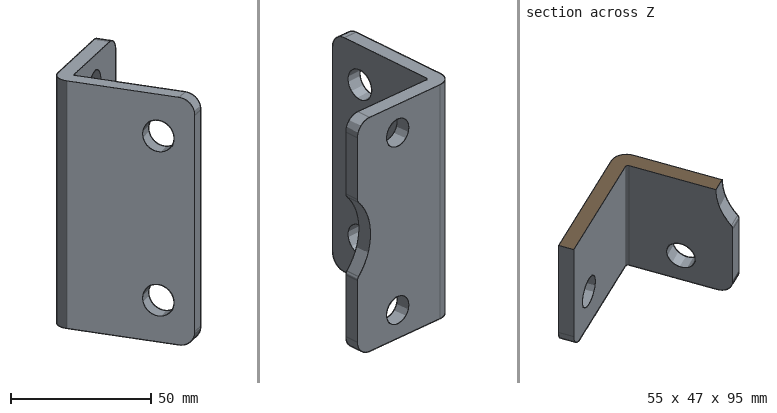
import math

import cadquery as cq

width = 55.0
depth = 47.0
height = 95.0
thickness = 6.0
mid_height = height / 2

inner_bend_radius = 1.0
outer_bend_radius = 6.0
corner_radius = 6.0

front_hole_diameter = 12.0
front_hole_x = 41.0
front_hole_spacing = 63.0

side_hole_diameter = 11.0
side_hole_y = 27.0
side_hole_spacing = 72.0

notch_radius = 22.0
notch_depth = 6.5
notch_corner_radius = 2.0
notch_center_to_edge = notch_radius - notch_depth
notch_half_span = math.sqrt(notch_radius**2 - notch_center_to_edge**2)


def fillet_edge_near(body, point, radius):
    """Round the single edge whose centre lies nearest to the point."""
    return body.edges(cq.selectors.NearestToPointSelector(point)).fillet(radius)


def bent_plate():
    """L-shaped plate with a rounded bend along Z."""
    plate = (
        cq.Workplane("XY")
        .polyline([
            (0, 0),
            (width, 0),
            (width, thickness),
            (thickness, thickness),
            (thickness, depth),
            (0, depth),
        ])
        .close()
        .extrude(height)
    )
    plate = fillet_edge_near(plate, (thickness, thickness, mid_height), inner_bend_radius)
    return fillet_edge_near(plate, (0, 0, mid_height), outer_bend_radius)


def round_free_corners(plate):
    """Round the two outer corners of each flange."""
    plate = plate.faces(">X").edges("|Y").fillet(corner_radius)
    return plate.faces(">Y").edges("|X").fillet(corner_radius)


def hole_pair(plane, position, spacing, diameter, length):
    """Two cylinders spaced along Z about mid height, at one position along the flange."""
    half_spacing = spacing / 2
    return (
        cq.Workplane(plane)
        .pushPoints([
            (position, mid_height - half_spacing),
            (position, mid_height + half_spacing),
        ])
        .circle(diameter / 2)
        .extrude(length)
    )


def cut_holes(plate):
    """Drill the hole pair of each flange straight through its thickness."""
    front_holes = hole_pair("XZ", front_hole_x, front_hole_spacing, front_hole_diameter, -thickness)
    side_holes = hole_pair("YZ", side_hole_y, side_hole_spacing, side_hole_diameter, thickness)
    return plate.cut(front_holes).cut(side_holes)


def cut_notch(plate):
    """Cut the circular notch in the side flange and round its two mouth corners."""
    notch = (
        cq.Workplane("YZ")
        .center(depth + notch_center_to_edge, mid_height)
        .circle(notch_radius)
        .extrude(thickness)
    )
    plate = plate.cut(notch)
    for side in (-1, 1):
        mouth_corner = (thickness / 2, depth, mid_height + side * notch_half_span)
        plate = fillet_edge_near(plate, mouth_corner, notch_corner_radius)
    return plate


plate = round_free_corners(bent_plate())
plate = cut_holes(plate)
result = cut_notch(plate)